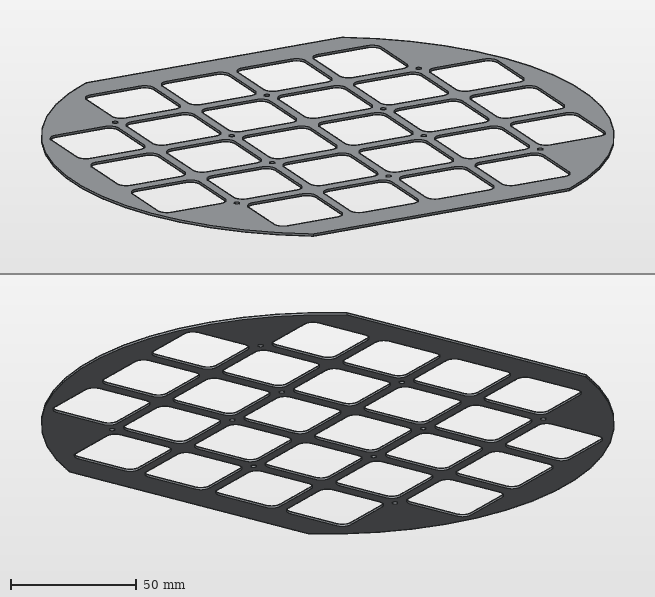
import cadquery as cq

plate_diameter = 228.0
plate_width = 197.0
plate_thickness = 1.0

window_size = 30.0
window_corner_radius = 4.0
column_pitch = 35.0
row_pitch = 34.0
columns = 5
rows = 6

web_hole_diameter = 2.2
inner_web_x = column_pitch / 2
outer_web_x = inner_web_x + column_pitch
inner_web_rows = (-1, 1)
outer_web_rows = (-2, 0, 2)


def make_plate():
    """Disc with its left and right sides cut off flat."""
    disc = cq.Workplane("XY").circle(plate_diameter / 2).extrude(plate_thickness)
    flats = cq.Workplane("XY").rect(plate_width, plate_diameter).extrude(plate_thickness)
    return disc.intersect(flats)


def window_centers():
    """Grid positions centred on the plate, leaving out the four corners."""
    centers = []
    for column in range(columns):
        for row in range(rows):
            if column in (0, columns - 1) and row in (0, rows - 1):
                continue
            x = (column - (columns - 1) / 2) * column_pitch
            y = (row - (rows - 1) / 2) * row_pitch
            centers.append((x, y))
    return centers


def make_windows():
    """Through cutters for the windows, with rounded vertical edges."""
    return (
        cq.Workplane("XY")
        .pushPoints(window_centers())
        .rect(window_size, window_size)
        .extrude(plate_thickness)
        .edges("|Z")
        .fillet(window_corner_radius)
    )


def web_hole_centers():
    """Web crossings: three on each outer web and two on each inner web."""
    centers = []
    for side in (-1, 1):
        for web_row in outer_web_rows:
            centers.append((side * outer_web_x, web_row * row_pitch))
        for web_row in inner_web_rows:
            centers.append((side * inner_web_x, web_row * row_pitch))
    return centers


def make_web_holes():
    """Through cutters for the small round holes."""
    return (
        cq.Workplane("XY")
        .pushPoints(web_hole_centers())
        .circle(web_hole_diameter / 2)
        .extrude(plate_thickness)
    )


result = make_plate().cut(make_windows()).cut(make_web_holes())